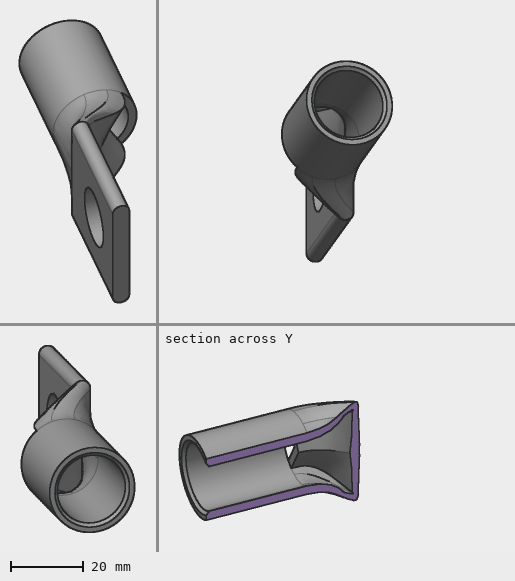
import cadquery as cq
import math

total_length = 84.1
barrel_length = 30.3
palm_start = 47.3

outer_radius = 12.1
wall = 2.4
bore_radius = outer_radius - wall
mouth_chamfer = 0.9

palm_width = 35.3
palm_thickness = 2 * wall
palm_flat_half_width = palm_width / 2 - wall
palm_mid_y = -outer_radius + wall
hole_diameter = 16.8
hole_x = 67.25

dent_apex_y = 2.35
dent_half_angle = 60.0
side_angle = 15.6
dip_delay = 1.7
slit_half_gap = 0.1
station_fractions = (0, 0.2, 0.4, 0.6, 0.8, 1)


def smooth(fraction):
    """S-shaped blend from 0 to 1, level at both ends."""
    return fraction ** 2 * (3 - 2 * fraction)


def mix(start, end, amount):
    """Point part way from start to end; amount has a (y, z) pair."""
    return tuple(a + (b - a) * t for a, b, t in zip(start, end, amount))


def arc_points(centre, radius, start_angle, end_angle):
    """Four Bezier points of an arc; angles run from the Z axis toward +Y."""
    start = math.radians(start_angle)
    end = math.radians(end_angle)
    handle = radius * 4 / 3 * math.tan((end - start) / 4)
    points = []
    for angle, reaches in ((start, (0, handle)), (end, (-handle, 0))):
        for reach in reaches:
            y = centre[0] + radius * math.sin(angle) + reach * math.cos(angle)
            z = centre[1] + radius * math.cos(angle) - reach * math.sin(angle)
            points.append((y, z))
    return points


def line_points(start, end):
    """Four evenly spaced Bezier points of a straight edge."""
    return [mix(start, end, (i / 3, i / 3)) for i in range(4)]


def round_section(radius, apex_y):
    """Upper half of the dented circle, from the dent's apex to the front."""
    flank = math.radians(dent_half_angle)
    reach = math.sqrt(radius ** 2 - (apex_y * math.sin(flank)) ** 2) - apex_y * math.cos(flank)
    back = (apex_y + reach * math.cos(flank), reach * math.sin(flank))
    back_angle = math.degrees(math.atan2(*back))
    return [
        line_points((apex_y, 0), back),
        arc_points((0, 0), radius, back_angle, side_angle),
        arc_points((0, 0), radius, side_angle, -side_angle),
        arc_points((0, 0), radius, -side_angle, -90),
    ]


def flat_section(half_thickness):
    """Upper half of the flattened slot shape, from back to front."""
    back_y = palm_mid_y + half_thickness
    front_y = palm_mid_y - half_thickness
    round_centre = (palm_mid_y, palm_flat_half_width)
    return [
        line_points((back_y, 0), (back_y, palm_flat_half_width)),
        arc_points(round_centre, half_thickness, 90, 0),
        arc_points(round_centre, half_thickness, 0, -90),
        line_points((front_y, palm_flat_half_width), (front_y, 0)),
    ]


def blended_section(start, end, fraction):
    """Wire part way along the transition, mirrored about the XY plane."""
    x = barrel_length + fraction * (palm_start - barrel_length)
    ease = 1 - math.cos(fraction * math.pi / 2)
    dip = smooth(fraction ** dip_delay)
    spread = (ease + smooth(fraction)) / 2
    early = (ease, spread)
    late = (dip, dip)
    progress = (
        (early, early, late, late),
        (late, late, early, early),
        (early,) * 4,
        (early,) * 4,
    )
    upper = []
    lower = []
    for start_curve, end_curve, amounts in zip(start, end, progress):
        points = [mix(p, q, amount) for p, q, amount in zip(start_curve, end_curve, amounts)]
        upper.append(cq.Edge.makeBezier([cq.Vector(x, y, z) for y, z in points]))
        lower.insert(0, cq.Edge.makeBezier([cq.Vector(x, y, -z) for y, z in reversed(points)]))
    return cq.Wire.assembleEdges(upper + lower)


def crushed_tube(radius, apex_y, end_half_thickness):
    """Loft from a dented circle to a flat slot shape."""
    start = round_section(radius, apex_y)
    end = flat_section(end_half_thickness)
    wires = [blended_section(start, end, fraction) for fraction in station_fractions]
    return cq.Workplane(obj=cq.Solid.makeLoft(wires))


def make_barrel():
    tube = cq.Workplane("YZ").circle(outer_radius).circle(bore_radius).extrude(barrel_length)
    mouth = cq.Solid.makeCone(
        bore_radius + mouth_chamfer, bore_radius, mouth_chamfer,
        pnt=cq.Vector(0, 0, 0), dir=cq.Vector(1, 0, 0),
    )
    return tube.cut(cq.Workplane(obj=mouth))


def make_palm():
    palm = (
        cq.Workplane("YZ", origin=(palm_start, palm_mid_y, 0))
        .slot2D(palm_width, palm_thickness, 90)
        .extrude(total_length - palm_start)
    )
    hole = (
        cq.Workplane("XZ", origin=(hole_x, 0, 0))
        .circle(hole_diameter / 2)
        .extrude(outer_radius)
    )
    return palm.cut(hole)


def make_transition():
    shell = crushed_tube(outer_radius, dent_apex_y, wall)
    cavity_apex_y = dent_apex_y - wall / math.sin(math.radians(dent_half_angle))
    cavity = crushed_tube(bore_radius, cavity_apex_y, slit_half_gap)
    return shell.cut(cavity)


join_tolerance = 0.01
result = make_barrel().union(make_transition().union(make_palm()), tol=join_tolerance)